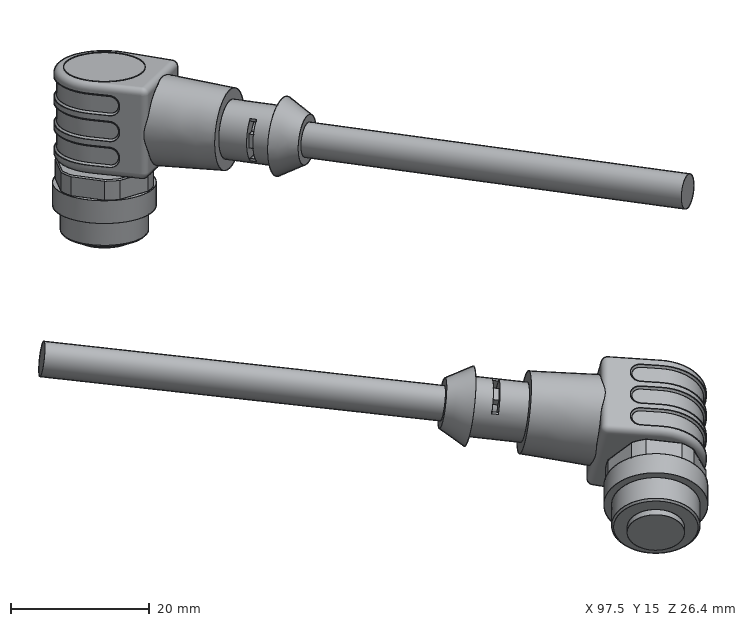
import cadquery as cq
import math


nose_radius = 7.3
side_taper = math.radians(4.0)
housing_end_x = 9.1
housing_height = 14.0
housing_fillet = 1.0
cap_diameter = 11.8
cap_recess = 0.1

groove_count = 3
groove_pitch = 4.0
groove_width = 3.1
groove_depth = 0.4
groove_wall_slope = 0.3
groove_end_x = 5.0

total_length = 97.55
sleeve_base_radius = 6.6
sleeve_tip_radius = 6.0
sleeve_end_x = 19.3
sleeve_tip_length = 0.4
stem_diameter = 8.8
flare_start_x = 27.4
flare_large_radius = 5.9
flare_small_radius = 3.7
flare_end_x = 31.3
cable_diameter = 5.2

slot_center_x = 24.1
slot_width = 1.0
slot_floor_spacing = 5.9
slot_window_height = 5.8
slot_rib_spacing = 6.9
slot_rib_height = 2.1

neck_diameter = 9.3
neck_length = 0.7
hex_across_flats = 13.6
hex_corner_diameter = 14.5
hex_height = 3.1
hex_chamfer = 0.2
collar_diameter = 15.0
collar_height = 3.5
nut_diameter = 12.8
nut_height = 4.1
nut_chamfer = 0.3
insert_diameter = 8.3
total_height = 26.4

housing_top = housing_height / 2
housing_bottom = -housing_height / 2
hex_top = housing_bottom - neck_length
collar_top = hex_top - hex_height
nut_top = collar_top - collar_height
nut_bottom = nut_top - nut_height
plug_bottom = housing_top - total_height
cable_end_x = total_length - collar_diameter / 2


def disc(diameter, top, bottom):
    return cq.Workplane("XY").workplane(offset=bottom).circle(diameter / 2).extrude(top - bottom)


def housing_block(inset):
    """Full-height housing with its plan outline moved inwards by inset, without fillets."""
    radius = nose_radius - inset
    tangent_x = radius * math.sin(side_taper)
    tangent_y = radius * math.cos(side_taper)
    end_y = radius / math.cos(side_taper) - housing_end_x * math.tan(side_taper)
    return (
        cq.Workplane("XY")
        .workplane(offset=housing_bottom)
        .moveTo(housing_end_x, end_y)
        .lineTo(tangent_x, tangent_y)
        .threePointArc((-radius, 0), (tangent_x, -tangent_y))
        .lineTo(housing_end_x, -end_y)
        .close()
        .extrude(housing_height)
    )


def grip_groove(center_z):
    """Cutter for one groove: a round-ended band with sloping walls around the nose."""
    half_width = groove_width / 2
    arc_center_x = groove_end_x - half_width
    reach = 2 * nose_radius
    band = (
        cq.Workplane("XZ")
        .workplane(offset=-reach)
        .moveTo(-reach, center_z - half_width)
        .lineTo(arc_center_x, center_z - half_width)
        .threePointArc((groove_end_x, center_z), (arc_center_x, center_z + half_width))
        .lineTo(-reach, center_z + half_width)
        .close()
        .extrude(2 * reach)
    )
    floor = housing_block(groove_depth)
    cutter = band.cut(floor)
    near_floor = cq.selectors.BoxSelector(
        (-nose_radius, -nose_radius, housing_bottom),
        (groove_end_x, nose_radius, housing_top),
        boundingbox=True,
    )
    return cutter.edges(near_floor).chamfer(groove_wall_slope)


def housing():
    body = housing_block(0).edges("|Z and >X").fillet(housing_fillet)
    body = body.faces("|Z").edges().fillet(housing_fillet)
    for index in range(groove_count):
        offset_from_middle = index - (groove_count - 1) / 2
        body = body.cut(grip_groove(offset_from_middle * groove_pitch))
    return body.cut(disc(cap_diameter, housing_top, housing_top - cap_recess))


def cable_side():
    """Tapered sleeve, stem, flare and cable turned about X."""
    stem_radius = stem_diameter / 2
    cable_radius = cable_diameter / 2
    return (
        cq.Workplane("XY")
        .lineTo(0, sleeve_base_radius)
        .lineTo(housing_end_x, sleeve_base_radius)
        .lineTo(sleeve_end_x - sleeve_tip_length, sleeve_tip_radius)
        .lineTo(sleeve_end_x, sleeve_tip_radius)
        .lineTo(sleeve_end_x, stem_radius)
        .lineTo(flare_start_x, stem_radius)
        .lineTo(flare_start_x, flare_large_radius)
        .lineTo(flare_end_x, flare_small_radius)
        .lineTo(flare_end_x, cable_radius)
        .lineTo(cable_end_x, cable_radius)
        .lineTo(cable_end_x, 0)
        .close()
        .revolve(360, (0, 0, 0), (1, 0, 0))
    )


def slot_box(size_y, size_z):
    """Box as wide as the slots, centred on the cable axis."""
    return cq.Workplane("XY").box(slot_width, size_y, size_z).translate((slot_center_x, 0, 0))


def relief_slots():
    """Cutter for both stem slots: flat side pockets and a window that leaves the rib and cable."""
    pockets = slot_box(stem_diameter, stem_diameter).cut(slot_box(slot_floor_spacing, stem_diameter))
    window = slot_box(stem_diameter, slot_window_height)
    cable = (
        cq.Workplane("YZ")
        .workplane(offset=slot_center_x - slot_width)
        .circle(cable_diameter / 2)
        .extrude(2 * slot_width)
    )
    rib = slot_box(slot_rib_spacing, slot_rib_height)
    return pockets.union(window).cut(cable).cut(rib)


def hex_ring():
    """Hexagon with two flats facing Y and its corners turned off round."""
    hex_circle = hex_across_flats / math.cos(math.pi / 6)
    hexagon = (
        cq.Workplane("XY")
        .workplane(offset=collar_top)
        .polygon(6, hex_circle)
        .extrude(hex_height)
    )
    turned = disc(hex_corner_diameter, hex_top, collar_top)
    return hexagon.intersect(turned).faces(">Z").chamfer(hex_chamfer)


def plug_side():
    neck = disc(neck_diameter, 0, collar_top)
    collar = disc(collar_diameter, collar_top, nut_top)
    nut = disc(nut_diameter, nut_top, nut_bottom).faces("<Z").chamfer(nut_chamfer)
    insert = disc(insert_diameter, nut_bottom, plug_bottom)
    return neck.union(hex_ring()).union(collar).union(nut).union(insert)


result = housing().union(cable_side().cut(relief_slots())).union(plug_side())